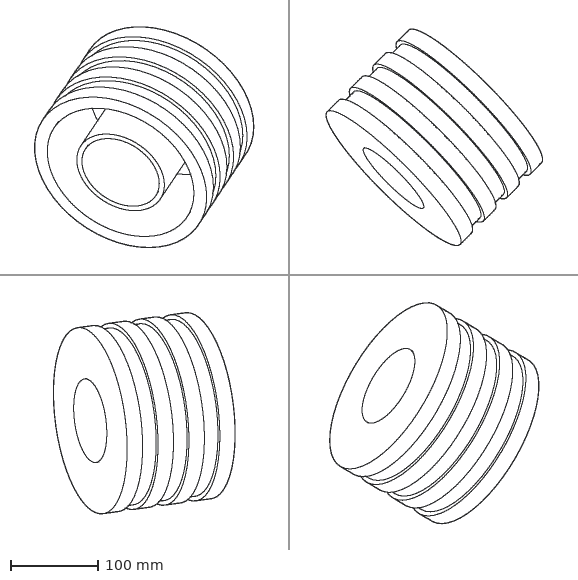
import cadquery as cq

outer_diameter = 216.0
groove_diameter = 205.2
rim_inner_diameter = 184.0
hub_diameter = 110.0
bore_diameter = 97.0
width = 135.0

groove_count = 3
band_width = width / (2 * groove_count + 1)

wall_thickness = (outer_diameter - rim_inner_diameter) / 2
pocket_depth = width - wall_thickness

cutter_diameter = outer_diameter + 21.5


def ring(outer, inner, length, front_y):
    """Ring around the Y axis, running from front_y toward +Y."""
    return (
        cq.Workplane("XZ", origin=(0, front_y, 0))
        .circle(outer / 2)
        .circle(inner / 2)
        .extrude(-length)
    )


front_face_y = -width / 2
result = ring(outer_diameter, bore_diameter, width, front_face_y)
result = result.cut(ring(rim_inner_diameter, hub_diameter, pocket_depth, front_face_y))

for index in range(groove_count):
    groove_y = front_face_y + (2 * index + 1) * band_width
    result = result.cut(ring(cutter_diameter, groove_diameter, band_width, groove_y))